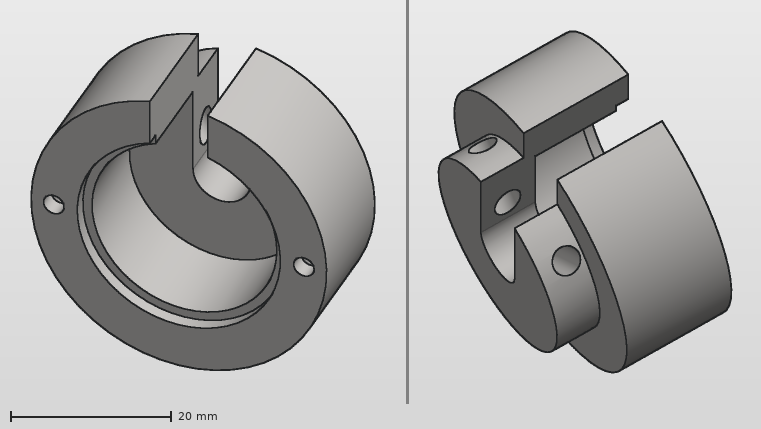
import cadquery as cq
import math

body_diameter = 40.0
body_length = 15.5
hub_diameter = 27.5
total_length = 21.8

bore_diameter = 25.0
bore_depth = 13.75
recess_diameter = hub_diameter
recess_depth = 1.8

slot_width = 7.8

pin_hole_diameter = 2.75
pin_hole_offset = 16.9
pin_hole_depth = 2.4
drill_point_angle = 118.0

screw_hole_diameter = 3.8
screw_hole_from_back = 3.95
screw_hole_angle = 45.0


def cylinder_along_y(diameter, start, end):
    """Cylinder on the Y axis between two Y positions."""
    axis = cq.Vector(0, 1, 0)
    return cq.Workplane(cq.Solid.makeCylinder(diameter / 2, end - start, cq.Vector(0, start, 0), axis))


def open_slot():
    """Round-bottomed slot through the full length, open toward +Z."""
    round_bottom = cylinder_along_y(slot_width, 0, total_length)
    channel = cq.Workplane().box(slot_width, total_length, body_diameter, centered=(True, False, False))
    return round_bottom.union(channel)


def pin_hole(x):
    """Blind drilled hole in the open face, with a conical end."""
    radius = pin_hole_diameter / 2
    point_length = radius / math.tan(math.radians(drill_point_angle / 2))
    half_profile = (
        cq.Workplane("XY")
        .moveTo(0, 0)
        .lineTo(radius, 0)
        .lineTo(radius, pin_hole_depth)
        .lineTo(0, pin_hole_depth + point_length)
        .close()
    )
    return half_profile.revolve(360, (0, 0), (0, 1)).translate((x, 0, 0))


def screw_hole(side):
    """Radial hole from the hub surface into the slot, on the +X or -X side."""
    angle = math.radians(screw_hole_angle)
    direction = cq.Vector(side * math.sin(angle), 0, math.cos(angle))
    start = cq.Vector(0, total_length - screw_hole_from_back, 0)
    return cq.Workplane(cq.Solid.makeCylinder(screw_hole_diameter / 2, body_diameter / 2, start, direction))


body = cylinder_along_y(body_diameter, 0, body_length)
hub = cylinder_along_y(hub_diameter, body_length, total_length)
result = body.union(hub)

result = result.cut(cylinder_along_y(bore_diameter, 0, bore_depth))
result = result.cut(cylinder_along_y(recess_diameter, 0, recess_depth))

for side in (-1, 1):
    result = result.cut(pin_hole(side * pin_hole_offset))
    result = result.cut(screw_hole(side))

result = result.cut(open_slot())